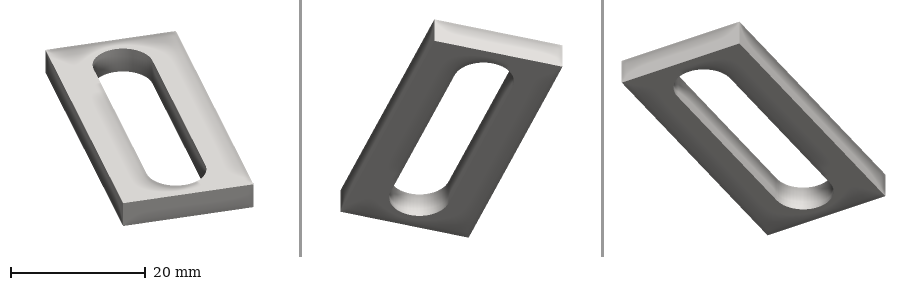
import cadquery as cq

plate_length = 44.0
plate_width = 20.0
plate_thickness = 4.0

slot_length = 39.0
slot_width = 9.0

plate = cq.Workplane("XY").box(plate_length, plate_width, plate_thickness)

result = plate.faces(">Z").workplane().slot2D(slot_length, slot_width).cutThruAll()